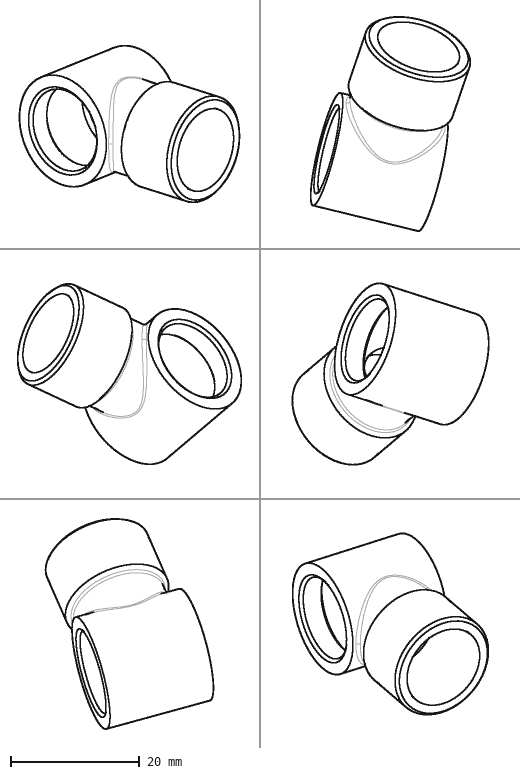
import cadquery as cq
import math

sleeve_radius = 9.005
sleeve_length = 17.0
bore_radius = 6.6
bore_chamfer = 0.5
relief_radius = 7.3
mouth_depth = 3.72
relief_length = sleeve_length - 2 * mouth_depth
relief_cone_length = 0.55

overall_length = 31.0
branch_end = overall_length - sleeve_radius
neck_radius = 7.5
collar_radius = sleeve_length / 2
shoulder_angle = 60
shoulder_end = 12.12
collar_end_chamfer = 0.5
fillet_radius = 0.5

passage_radius = 4.12
socket_start = 8.5


def cylinder_x(radius, start, end):
    return cq.Workplane("YZ").workplane(offset=start).circle(radius).extrude(end - start)


def cylinder_y(radius, length):
    return cq.Workplane("XZ").circle(radius).extrude(length / 2, both=True)


def make_collar():
    shoulder_rise = collar_radius - neck_radius
    shoulder_start = shoulder_end - shoulder_rise / math.tan(math.radians(shoulder_angle))

    turn = math.radians(shoulder_angle)
    tangent_length = fillet_radius * math.tan(turn / 2)
    fillet_start = shoulder_start - tangent_length
    fillet_centre_radius = neck_radius + fillet_radius

    def fillet_point(angle):
        return (
            fillet_start + fillet_radius * math.sin(angle),
            fillet_centre_radius - fillet_radius * math.cos(angle),
        )

    profile = (
        cq.Workplane("XY")
        .moveTo(fillet_start, 0)
        .lineTo(*fillet_point(0))
        .threePointArc(fillet_point(turn / 2), fillet_point(turn))
        .lineTo(shoulder_end, collar_radius)
        .lineTo(branch_end - collar_end_chamfer, collar_radius)
        .lineTo(branch_end, collar_radius - collar_end_chamfer)
        .lineTo(branch_end, 0)
        .close()
    )
    return profile.revolve(360, (0, 0, 0), (1, 0, 0))


def make_body():
    sleeve = cylinder_y(sleeve_radius, sleeve_length)
    neck = cylinder_x(neck_radius, 0, shoulder_end)
    junction_box = cq.selectors.BoxSelector(
        (0, -neck_radius - 0.3, -neck_radius - 0.3),
        (sleeve_radius + 0.3, neck_radius + 0.3, neck_radius + 0.3),
    )
    filleted = sleeve.union(neck).edges(junction_box).fillet(fillet_radius)
    return filleted.union(make_collar())


def make_sleeve_bore():
    half_length = sleeve_length / 2
    half_relief = relief_length / 2
    half_profile = [
        (relief_radius, half_relief - relief_cone_length),
        (bore_radius, half_relief),
        (bore_radius, half_length - bore_chamfer),
        (bore_radius + bore_chamfer, half_length),
        (0, half_length),
    ]
    mirrored_half = [(radius, -y) for radius, y in reversed(half_profile)]
    profile = cq.Workplane("XY").polyline(mirrored_half + half_profile).close()
    return profile.revolve(360, (0, 0, 0), (0, 1, 0))


def make_branch_bore():
    passage = cylinder_x(passage_radius, 0, branch_end)
    socket = cylinder_x(bore_radius, socket_start, branch_end)
    return passage.union(socket)


result = make_body().cut(make_sleeve_bore()).cut(make_branch_bore())